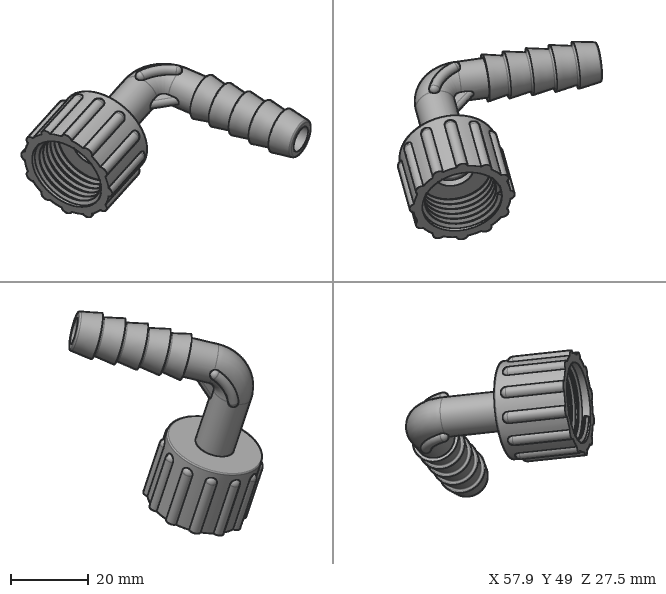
import cadquery as cq
import math


pipe_radius = 5.15
bore_radius = 3.5
bend_radius = 7.2
tail_axis_y = 42.8
overall_length = 57.9
bend_start_y = tail_axis_y - bend_radius

barb_count = 5
barb_pitch = 6.0
barb_radius = 6.15
first_barb_pitch = 5.55
neck_length = 0.6
neck_fillet = 0.5
tail_end_fillet = 0.5

grip_radius = 1.4
grip_arc_radius = 12.35
grip_arc_angle = 45.0
grip_arc_middle = 135.0
grip_arc_shift = 4.1
grip_height = 5.3
gusset_leg = 5.3
gusset_edge_radius = 1.2

nut_radius = 12.75
nut_length = 18.95
nut_rim_fillet = 0.35
rib_count = 12
rib_radius = 1.6
rib_straight_length = 15.5
nut_width_over_ribs = 27.5
rib_tip_radius = nut_width_over_ribs / 2
rib_circle_radius = rib_tip_radius - rib_radius

tail_end_x = overall_length - rib_tip_radius

thread_pitch = 1.8
thread_turns = 5.6
thread_start_y = 1.1
thread_root_radius = 10.4
thread_crest_radius = 9.45
thread_base_width = 1.55
thread_crest_width = 0.25
thread_embed = 0.2

gasket_face_y = 11.1
gasket_thickness = 2.0
gasket_hole_radius = pipe_radius
flange_thickness = 2.0
flange_mouth_fillet = 1.0
flange_face_y = gasket_face_y + gasket_thickness
flange_back_y = flange_face_y + flange_thickness


def cylinder_y(radius, start_y, end_y):
    """Solid cylinder on the Y axis."""
    return cq.Workplane("XZ", origin=(0, start_y, 0)).circle(radius).extrude(start_y - end_y)


def bent_rod(radius, start_y):
    """Round rod from start_y up the Y axis, through the bend and on to the tail end."""
    bend_middle = bend_radius * math.sqrt(0.5)
    path = (
        cq.Workplane("XY")
        .moveTo(0, start_y)
        .lineTo(0, bend_start_y)
        .threePointArc(
            (bend_radius - bend_middle, bend_start_y + bend_middle),
            (bend_radius, tail_axis_y),
        )
        .lineTo(tail_end_x, tail_axis_y)
    )
    return cq.Workplane("XZ", origin=(0, start_y, 0)).circle(radius).sweep(path)


def hose_barbs():
    """Row of barbs: each steps out sharply, then narrows to the pipe radius towards the tail end."""
    start_x = tail_end_x - (barb_count - 1) * barb_pitch - first_barb_pitch
    profile = cq.Workplane("XY").moveTo(start_x, 0)
    profile = profile.lineTo(start_x, barb_radius)
    for barbs_left in range(barb_count - 1, 0, -1):
        next_x = tail_end_x - barbs_left * barb_pitch
        profile = (
            profile.lineTo(next_x - neck_length, pipe_radius)
            .lineTo(next_x - neck_fillet, pipe_radius)
            .tangentArcPoint((next_x, pipe_radius + neck_fillet), relative=False)
            .lineTo(next_x, barb_radius)
        )
    profile = profile.lineTo(tail_end_x, pipe_radius).lineTo(tail_end_x, 0).close()
    return profile.revolve(360, (0, 0, 0), (1, 0, 0)).translate((0, tail_axis_y, 0))


def grip_rib(height):
    """Round-ended rib that follows the bend at the given height."""
    rib = (
        cq.Workplane("XZ")
        .center(grip_arc_radius, 0)
        .circle(grip_radius)
        .revolve(grip_arc_angle, (-grip_arc_radius, 0), (-grip_arc_radius, 1))
    )
    arc_start = cq.Vector(grip_arc_radius, 0, 0)
    for end_angle, outward_y in ((0, -1), (grip_arc_angle, 1)):
        dome = cq.Solid.makeSphere(grip_radius, arc_start, cq.Vector(0, outward_y, 0), 0, 90, 360)
        rib = rib.union(cq.Workplane(dome.rotate((0, 0, 0), (0, 0, 1), end_angle)))
    arc_center = (bend_radius + grip_arc_shift, bend_start_y - grip_arc_shift, height)
    first_angle = grip_arc_middle - grip_arc_angle / 2
    return rib.rotate((0, 0, 0), (0, 0, 1), first_angle).translate(arc_center)


def gusset():
    """Diagonal web with a rounded outer edge across the inner corner of the bend."""
    corner_x = pipe_radius
    corner_y = tail_axis_y - pipe_radius
    edge_inset = gusset_edge_radius * math.sqrt(2)
    rod_leg = gusset_leg - edge_inset
    rod_start = (0, corner_y - rod_leg - corner_x)
    rod_end = (corner_x + rod_leg + pipe_radius, tail_axis_y)
    web = (
        cq.Workplane("XY", origin=(0, 0, -gusset_edge_radius))
        .polyline([rod_start, rod_end, (0, tail_axis_y)])
        .close()
        .extrude(2 * gusset_edge_radius)
    )
    rod_length = math.dist(rod_start, rod_end)
    rod = cq.Solid.makeCylinder(gusset_edge_radius, rod_length, cq.Vector(*rod_start), cq.Vector(1, 1, 0))
    return web.union(cq.Workplane(rod))


def make_elbow():
    elbow = bent_rod(pipe_radius, flange_face_y)
    elbow = elbow.union(cylinder_y(thread_root_radius, flange_face_y, flange_back_y))
    elbow = elbow.union(hose_barbs())
    elbow = elbow.faces(">X").edges().fillet(tail_end_fillet)
    elbow = elbow.union(gusset())
    for height in (grip_height, -grip_height):
        elbow = elbow.union(grip_rib(height))
    elbow = elbow.cut(bent_rod(bore_radius, flange_face_y))
    mouth = cq.selectors.RadiusNthSelector(0)
    return elbow.faces("<Y").edges(mouth).fillet(flange_mouth_fillet)


def nut_rib():
    """Round-topped finger rib at the +X side of the nut."""
    shaft = cylinder_y(rib_radius, 0, rib_straight_length)
    tip = cq.Workplane("XY", origin=(0, rib_straight_length, 0)).sphere(rib_radius)
    return shaft.union(tip).translate((rib_circle_radius, 0, 0))


def thread_ridge():
    """Right-hand thread ridge that starts at +X near the open face of the nut."""
    helix = cq.Wire.makeHelix(thread_pitch, thread_turns * thread_pitch, thread_root_radius)
    outer_radius = thread_root_radius + thread_embed
    ridge = (
        cq.Workplane("XZ")
        .moveTo(outer_radius, -thread_base_width / 2)
        .lineTo(thread_crest_radius, -thread_crest_width / 2)
        .lineTo(thread_crest_radius, thread_crest_width / 2)
        .lineTo(outer_radius, thread_base_width / 2)
        .close()
        .sweep(cq.Workplane(helix), isFrenet=True)
    )
    return ridge.rotate((0, 0, 0), (1, 0, 0), -90).translate((0, thread_start_y, 0))


def make_nut():
    nut = cylinder_y(nut_radius, 0, nut_length).faces(">Y").edges().fillet(nut_rim_fillet)
    for index in range(rib_count):
        angle = index * 360 / rib_count
        nut = nut.union(nut_rib().rotate((0, 0, 0), (0, 1, 0), angle))
    nut = nut.cut(cylinder_y(thread_root_radius, 0, flange_back_y))
    nut = nut.cut(cylinder_y(pipe_radius, flange_back_y, nut_length))
    nut = nut.union(thread_ridge())
    return nut.cut(cylinder_y(thread_root_radius, gasket_face_y, flange_back_y))


def make_gasket():
    gasket = cylinder_y(thread_root_radius, gasket_face_y, flange_face_y)
    return gasket.cut(cylinder_y(gasket_hole_radius, gasket_face_y, flange_face_y))


elbow = make_elbow()
nut = make_nut()
gasket = make_gasket()

result = cq.Compound.makeCompound([elbow.solids().val(), nut.solids().val(), gasket.solids().val()])